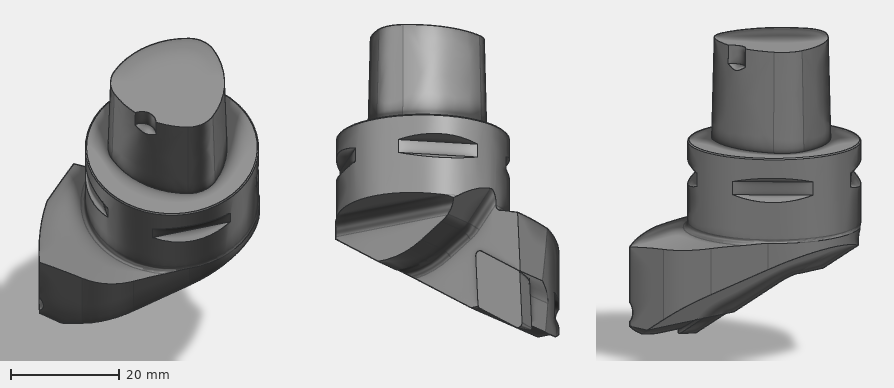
import cadquery as cq
import math


SHANK_LENGTH = 19.0
SHANK_WIDTH = 22.0
SHANK_CORNER_RADIUS = 5.8
SHANK_TAPER = 1.42

NOTCH_DIAMETER = 5.25
NOTCH_AXIS_Y = -11.0
NOTCH_DEPTH = 3.5
NOTCH_TIP_DEPTH = 1.6

FLANGE_RADIUS = 32.0 / 2
FLANGE_BOTTOM_Z = -15.4
FLANGE_CHAMFER = 0.25
GROOVE_Z = -6.0
GROOVE_FLOOR_DISTANCE = 14.15
GROOVE_FLOOR_HEIGHT = 2.5
GROOVE_WALL_ANGLE = 30
GROOVE_LENGTH = 15.0

SHOULDER_FILLET = 1.1
SHOULDER_ANGLE = 15

HOLDER_RADIUS = 16.15
HOLDER_LEFT_X = -22.1
HOLDER_FRONT_Y = -22.55
FRONT_LEFT_X = -15.1
FRONT_RIGHT_X = -6.0
FLANK_ANGLE = 42

LEAN_ANGLE = 3
INSERT_ANGLE = 55
UNDERSIDE_ANGLE = 90 - LEAN_ANGLE - INSERT_ANGLE
CLEARANCE_ANGLE = 7

SIDE_TOP_X = -20.75
SIDE_TOP_Z = -17.45
HEEL_X = -10.4
HEEL_Z = -34.2
TOE_X = -20.75
TOE_Z = -38.45
TOE_RISE_ANGLE = 30
TOE_FACE_Z = -40.7

RELIEF_TOP_Z = -29.0
RELIEF_ARC_HEIGHT = 3.55
RELIEF_DEPTH = 0.8

INSERT_TIP_X = -22.0
INSERT_TIP_Z = -40.0
INSERT_SIDE = 11.6
INSERT_THICKNESS = 3.95
INSERT_NOSE_RADIUS = 0.8

GULLET_FLOOR_Y = -0.35
GULLET_FILLET = 3.5 / 2
GULLET_START = (-15.95, -12.55)
GULLET_STEEP_ANGLE = 49
GULLET_STEEP_END_Z = -18.35
GULLET_BEND = (-9.45, -19.5)
GULLET_SLOPE_END = (-5.0, -22.3)
GULLET_ROOF_END = (4.95, -24.8)

BACK_Y = 7.95
BACK_FILLET = 3.0
BACK_LEDGE_Z = -15.45
BACK_RIM_Z = -15.0

SLOT_WIDTH = 4.95
SLOT_END_X = -16.75
SLOT_Z = -31.5
SLOT_FLOOR_Y = -15.0

CLEAR = 35.4
CLEAR_BOTTOM_Z = -47.2


def sloped(start, angle, run):
    """Point reached from start after a horizontal run along a line at the given angle."""
    return (start[0] + run, start[1] + run * math.tan(math.radians(angle)))


def polar(radius, degrees):
    return cq.Vector(radius * math.cos(math.radians(degrees)), radius * math.sin(math.radians(degrees)))


def make_shank():
    """Triangle of three flat arcs and three tight corner arcs, one corner pointing to +Y."""
    side_radius = SHANK_WIDTH - SHANK_CORNER_RADIUS
    centre_distance = (side_radius - SHANK_CORNER_RADIUS) / math.sqrt(3)

    def on_corner(corner, normal):
        return (polar(centre_distance, corner) + polar(SHANK_CORNER_RADIUS, normal)).toTuple()[:2]

    def on_side(side, normal):
        return (polar(centre_distance, side + 180) + polar(side_radius, normal)).toTuple()[:2]

    profile = cq.Workplane("XY").moveTo(*on_corner(90, 60))
    for corner in (90, 210, 330):
        side = corner + 60
        profile = profile.threePointArc(on_corner(corner, corner), on_corner(corner, corner + 30))
        profile = profile.threePointArc(on_side(side, side), on_side(side, side + 30))
    shank = profile.close().extrude(SHANK_LENGTH, taper=SHANK_TAPER)
    return shank.cut(make_notch())


def make_notch():
    """Drill shape: a cylinder with a conical tip."""
    shoulder_z = SHANK_LENGTH - NOTCH_DEPTH
    drill = (
        cq.Workplane("XZ")
        .moveTo(0, SHANK_LENGTH)
        .lineTo(NOTCH_DIAMETER / 2, SHANK_LENGTH)
        .lineTo(NOTCH_DIAMETER / 2, shoulder_z)
        .lineTo(0, shoulder_z - NOTCH_TIP_DEPTH)
        .close()
        .revolve(360, (0, 0, 0), (0, 1, 0))
    )
    return drill.translate((0, NOTCH_AXIS_Y, 0))


def make_groove():
    """Gripper groove on the +X side: a flat floor between two flared walls."""
    mouth_distance = FLANGE_RADIUS + 0.6
    flare = (mouth_distance - GROOVE_FLOOR_DISTANCE) * math.tan(math.radians(GROOVE_WALL_ANGLE))
    half_floor = GROOVE_FLOOR_HEIGHT / 2
    half_mouth = half_floor + flare
    return (
        cq.Workplane("XZ", origin=(0, 0, GROOVE_Z))
        .polyline([
            (GROOVE_FLOOR_DISTANCE, -half_floor),
            (mouth_distance, -half_mouth),
            (mouth_distance, half_mouth),
            (GROOVE_FLOOR_DISTANCE, half_floor),
        ])
        .close()
        .extrude(GROOVE_LENGTH / 2, both=True)
    )


def make_flange():
    flange = cq.Workplane("XY").circle(FLANGE_RADIUS).extrude(FLANGE_BOTTOM_Z)
    flange = flange.faces(">Z").chamfer(FLANGE_CHAMFER)
    for angle in (45, 135, 225, 315):
        flange = flange.cut(make_groove().rotate((0, 0, 0), (0, 0, 1), angle))
    return flange


def make_outline():
    """Holder outline extruded along the tool axis, from the flange down to the toe."""
    flank = math.radians(FLANK_ANGLE)
    rise = FRONT_LEFT_X - HOLDER_LEFT_X
    side_radius = (rise**2 + HOLDER_FRONT_Y**2) / (2 * rise)
    half_turn = math.asin(-HOLDER_FRONT_Y / side_radius) / 2
    side_middle = (
        HOLDER_LEFT_X + side_radius * (1 - math.cos(half_turn)),
        -side_radius * math.sin(half_turn),
    )
    corner_x = (HOLDER_RADIUS + HOLDER_FRONT_Y * math.cos(flank)) / math.sin(flank)
    tangent = corner_x - FRONT_RIGHT_X
    blend_end = (
        corner_x + tangent * math.cos(flank),
        HOLDER_FRONT_Y + tangent * math.sin(flank),
    )
    flank_end = (HOLDER_RADIUS * math.sin(flank), -HOLDER_RADIUS * math.cos(flank))
    return (
        cq.Workplane("XY", origin=(0, 0, FLANGE_BOTTOM_Z))
        .moveTo(HOLDER_LEFT_X, 0)
        .threePointArc(side_middle, (FRONT_LEFT_X, HOLDER_FRONT_Y))
        .lineTo(FRONT_RIGHT_X, HOLDER_FRONT_Y)
        .tangentArcPoint(blend_end, relative=False)
        .lineTo(*flank_end)
        .threePointArc((HOLDER_RADIUS, 0), (0, HOLDER_RADIUS))
        .lineTo(HOLDER_LEFT_X, HOLDER_RADIUS)
        .close()
        .extrude(TOE_Z - FLANGE_BOTTOM_Z)
    )


def make_shoulder():
    """Revolved body below the flange: a concave fillet that runs into a cone."""
    centre_r = FLANGE_RADIUS + SHOULDER_FILLET

    def fillet_point(degrees):
        t = math.radians(degrees)
        return (centre_r - SHOULDER_FILLET * math.cos(t), FLANGE_BOTTOM_Z - SHOULDER_FILLET * math.sin(t))

    turn = 90 - SHOULDER_ANGLE
    cone_start = fillet_point(turn)
    return (
        cq.Workplane("XZ")
        .moveTo(0, FLANGE_BOTTOM_Z)
        .lineTo(FLANGE_RADIUS, FLANGE_BOTTOM_Z)
        .threePointArc(fillet_point(turn / 2), cone_start)
        .lineTo(*sloped(cone_start, -SHOULDER_ANGLE, CLEAR - cone_start[0]))
        .lineTo(CLEAR, TOE_Z)
        .lineTo(0, TOE_Z)
        .close()
        .revolve(360, (0, 0, 0), (0, 1, 0))
    )


def cut_along_y(points):
    """Prism through the whole part along Y, from a polygon in X and Z."""
    return cq.Workplane("XZ").polyline(points).close().extrude(CLEAR, both=True)


def make_underside_cut():
    """Everything below the sloped underside and the flat heel."""
    heel = (HEEL_X, HEEL_Z)
    return cut_along_y([
        (-CLEAR, HEEL_Z),
        heel,
        sloped(heel, UNDERSIDE_ANGLE, CLEAR - HEEL_X),
        (CLEAR, CLEAR_BOTTOM_Z),
        (-CLEAR, CLEAR_BOTTOM_Z),
    ])


def above_toe_line(z, taper):
    """Space above a line that rises to the right, narrowing toward -Y by the taper."""
    start = (TOE_X, z)
    return (
        cq.Workplane("XZ")
        .polyline([
            sloped(start, TOE_RISE_ANGLE, -CLEAR),
            sloped(start, TOE_RISE_ANGLE, CLEAR),
            (-CLEAR, CLEAR),
        ])
        .close()
        .extrude(CLEAR, taper=taper)
    )


def make_toe_envelope():
    """Space of the toe under the insert: a clearance face, cut back below the insert."""
    return above_toe_line(TOE_FACE_Z, CLEARANCE_ANGLE).intersect(above_toe_line(TOE_Z, 0))


def side_x(z):
    """X of the leaning left side at height z."""
    return SIDE_TOP_X - (SIDE_TOP_Z - z) * math.tan(math.radians(LEAN_ANGLE))


def make_side_cut():
    """Everything left of the leaning side, with the relief under the insert corner."""
    arc_end_z = RELIEF_TOP_Z - RELIEF_ARC_HEIGHT
    arc_middle_z = (RELIEF_TOP_Z + arc_end_z) / 2
    return (
        cq.Workplane("XZ")
        .moveTo(side_x(0), 0)
        .lineTo(side_x(RELIEF_TOP_Z), RELIEF_TOP_Z)
        .threePointArc(
            (side_x(arc_middle_z) + RELIEF_DEPTH * 3 / 4, arc_middle_z),
            (side_x(arc_end_z) + RELIEF_DEPTH, arc_end_z),
        )
        .lineTo(side_x(CLEAR_BOTTOM_Z) + RELIEF_DEPTH, CLEAR_BOTTOM_Z)
        .lineTo(-CLEAR, CLEAR_BOTTOM_Z)
        .lineTo(-CLEAR, 0)
        .close()
        .extrude(CLEAR, both=True)
    )


def make_gullet():
    """Chip space above the insert face, rounded where its roof meets the floor."""
    steep_run = (GULLET_START[1] - GULLET_STEEP_END_Z) / math.tan(math.radians(GULLET_STEEP_ANGLE))
    steep_end = sloped(GULLET_START, -GULLET_STEEP_ANGLE, steep_run)
    gullet = (
        cq.Workplane("XZ", origin=(0, GULLET_FLOOR_Y, 0))
        .moveTo(*sloped(GULLET_START, -GULLET_STEEP_ANGLE, -CLEAR / 3))
        .lineTo(*steep_end)
        .tangentArcPoint(GULLET_BEND, relative=False)
        .lineTo(*GULLET_SLOPE_END)
        .tangentArcPoint(GULLET_ROOF_END, relative=False)
        .lineTo(CLEAR / 3, GULLET_ROOF_END[1])
        .lineTo(CLEAR / 3, CLEAR_BOTTOM_Z)
        .lineTo(-CLEAR, CLEAR_BOTTOM_Z)
        .close()
        .extrude(-CLEAR)
    )
    return gullet.faces("<Y").edges().fillet(GULLET_FILLET)


def make_back_cut():
    """Space behind the holder, rounded into the underside of the flange."""
    fillet_diagonal = BACK_FILLET * math.sqrt(0.5)
    centre_y = BACK_Y + BACK_FILLET
    centre_z = BACK_LEDGE_Z - BACK_FILLET
    return (
        cq.Workplane("YZ")
        .moveTo(BACK_Y, CLEAR_BOTTOM_Z)
        .lineTo(BACK_Y, centre_z)
        .threePointArc(
            (centre_y - fillet_diagonal, centre_z + fillet_diagonal),
            (centre_y, BACK_LEDGE_Z),
        )
        .lineTo(FLANGE_RADIUS, BACK_RIM_Z)
        .lineTo(CLEAR, BACK_RIM_Z)
        .lineTo(CLEAR, CLEAR_BOTTOM_Z)
        .close()
        .extrude(CLEAR, both=True)
    )


def make_slot():
    """Round-ended slot that opens to the left side and the front."""
    depth = SLOT_FLOOR_Y + CLEAR
    plane = cq.Workplane("XZ", origin=(SLOT_END_X, SLOT_FLOOR_Y, SLOT_Z))
    round_end = plane.circle(SLOT_WIDTH / 2).extrude(depth)
    opening = plane.center(-CLEAR / 2, 0).rect(CLEAR, SLOT_WIDTH).extrude(depth)
    return round_end.union(opening)


def make_insert():
    """Rhombic plate with rounded corners and clearance on all four sides."""
    steep = math.radians(90 - LEAN_ANGLE)
    shallow = math.radians(UNDERSIDE_ANGLE)
    middle = (steep + shallow) / 2
    corner_reach = INSERT_NOSE_RADIUS / math.sin(math.radians(INSERT_ANGLE / 2))
    tip = cq.Vector(
        INSERT_TIP_X + INSERT_NOSE_RADIUS - corner_reach * math.cos(middle),
        INSERT_TIP_Z + INSERT_NOSE_RADIUS - corner_reach * math.sin(middle),
    )
    side_edge = cq.Vector(math.cos(steep), math.sin(steep)) * INSERT_SIDE
    lower_edge = cq.Vector(math.cos(shallow), math.sin(shallow)) * INSERT_SIDE
    corners = [tip, tip + lower_edge, tip + lower_edge + side_edge, tip + side_edge]
    profile = cq.Sketch().polygon([c.toTuple()[:2] for c in corners + [tip]])
    profile = profile.vertices().fillet(INSERT_NOSE_RADIUS)
    return cq.Workplane("XZ").placeSketch(profile).extrude(INSERT_THICKNESS, taper=CLEARANCE_ANGLE)


def make_holder(insert):
    blank = make_shoulder().intersect(make_outline())
    toe = blank.intersect(make_toe_envelope())
    lower = blank.cut(make_underside_cut()).union(toe)
    lower = lower.cut(make_side_cut()).cut(make_slot())
    body = lower.union(make_flange()).cut(make_gullet()).cut(make_back_cut())
    return body.union(make_shank()).cut(insert)


insert = make_insert()
holder = make_holder(insert)

result = cq.Compound.makeCompound([holder.val(), insert.val()])